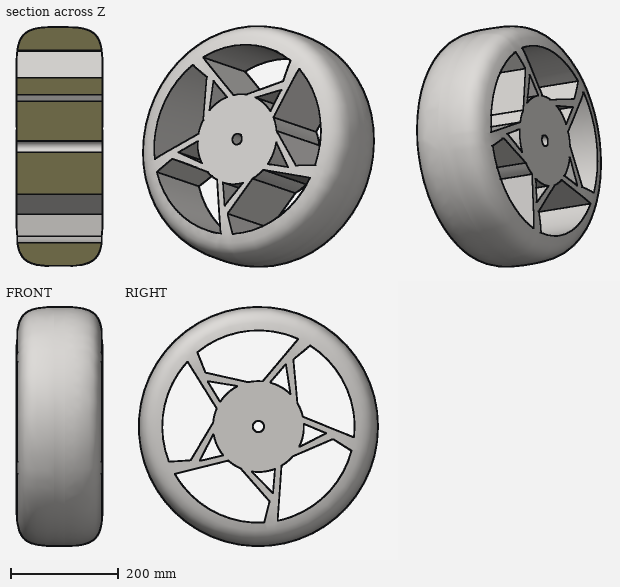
import cadquery as cq
import math

WIDTH = 160.0
OUTER_DIAMETER = 443.89
TREAD_WIDTH = 20.0
SIDE_FACE_RADIUS = 152.0
SHOULDER_FULLNESS = 0.8

RIM_RADIUS = 178.0
HUB_RADIUS = 84.5
AXLE_HOLE_DIAMETER = 20.46

SPOKE_COUNT = 5
STRAIGHT_EDGE_HUB_ANGLE = -59.4
STRAIGHT_EDGE_RIM_ANGLE = -78.4
BENT_EDGE_HUB_ANGLE = -113.0
BENT_EDGE_RIM_ANGLE = -86.6
BEND_RADIUS = 140.2
BEND_ANGLE = -81.6

OPENING_HUB_ANGLES = (-68.9, -98.4)
OPENING_TIP_RADIUS = 126.0
OPENING_TIP_ANGLE = -77.7

RIM_OVERLAP = 10.0

OUTER_RADIUS = OUTER_DIAMETER / 2
HALF_WIDTH = WIDTH / 2
HALF_TREAD = TREAD_WIDTH / 2


def polar(radius, angle):
    """Point (y, z) at a radius and angle around the wheel axis."""
    turn = math.radians(angle)
    return radius * math.cos(turn), radius * math.sin(turn)


def extend(start, end, extra):
    """Point past the end of a line, further along the same direction."""
    length = math.dist(start, end)
    factor = (length + extra) / length
    return tuple(a + (b - a) * factor for a, b in zip(start, end))


def side_plane():
    """YZ workplane on the -X side face."""
    return cq.Workplane("YZ", origin=(-HALF_WIDTH, 0, 0))


def disc(radius):
    return side_plane().circle(radius).extrude(WIDTH)


def tire_body():
    """Solid of revolution with full, rounded shoulders."""
    shoulder_height = OUTER_RADIUS - SIDE_FACE_RADIUS
    shoulder_width = HALF_WIDTH - HALF_TREAD
    handle_radius = SIDE_FACE_RADIUS + SHOULDER_FULLNESS * shoulder_height
    handle_x = HALF_TREAD + SHOULDER_FULLNESS * shoulder_width
    left_shoulder = [
        (-HALF_WIDTH, SIDE_FACE_RADIUS),
        (-HALF_WIDTH, handle_radius),
        (-handle_x, OUTER_RADIUS),
        (-HALF_TREAD, OUTER_RADIUS),
    ]
    right_shoulder = [(-x, radius) for x, radius in reversed(left_shoulder)]
    profile = (
        cq.Workplane("XY")
        .moveTo(-HALF_WIDTH, 0)
        .lineTo(-HALF_WIDTH, SIDE_FACE_RADIUS)
        .bezier(left_shoulder)
        .lineTo(HALF_TREAD, OUTER_RADIUS)
        .bezier(right_shoulder)
        .lineTo(HALF_WIDTH, 0)
        .close()
    )
    return profile.revolve(360, (0, 0, 0), (1, 0, 0))


def spoke():
    """Spoke with one straight and one bent edge and a triangular opening."""
    straight_hub = polar(HUB_RADIUS, STRAIGHT_EDGE_HUB_ANGLE)
    straight_rim = polar(RIM_RADIUS, STRAIGHT_EDGE_RIM_ANGLE)
    bent_hub = polar(HUB_RADIUS, BENT_EDGE_HUB_ANGLE)
    bend = polar(BEND_RADIUS, BEND_ANGLE)
    bent_rim = polar(RIM_RADIUS, BENT_EDGE_RIM_ANGLE)
    outline = [
        straight_hub,
        extend(straight_hub, straight_rim, RIM_OVERLAP),
        extend(bend, bent_rim, RIM_OVERLAP),
        bend,
        bent_hub,
    ]
    opening = [polar(HUB_RADIUS, angle) for angle in OPENING_HUB_ANGLES]
    opening.append(polar(OPENING_TIP_RADIUS, OPENING_TIP_ANGLE))
    return side_plane().polyline(outline).close().polyline(opening).close().extrude(WIDTH)


def windows():
    """Openings between hub and rim, left free by the spokes."""
    openings = disc(RIM_RADIUS)
    for index in range(SPOKE_COUNT):
        turn = index * 360 / SPOKE_COUNT
        openings = openings.cut(spoke().rotate((0, 0, 0), (1, 0, 0), turn))
    return openings.cut(disc(HUB_RADIUS))


result = tire_body().cut(windows()).cut(disc(AXLE_HOLE_DIAMETER / 2))